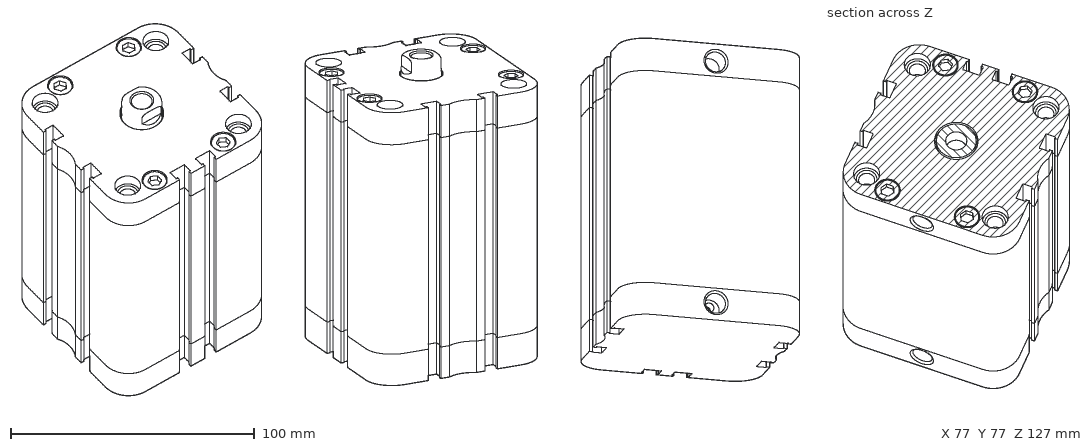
import cadquery as cq
import math

WIDTH = 77.0
TOTAL_HEIGHT = 127.0
TOP_CAP_HEIGHT = 14.0
BOTTOM_CAP_HEIGHT = 13.7
ROD_PROJECTION = 8.0
CORNER_RADIUS = 11.7
HALF_WIDTH = WIDTH / 2
BODY_HEIGHT = TOTAL_HEIGHT - ROD_PROJECTION
BARREL_HEIGHT = BODY_HEIGHT - TOP_CAP_HEIGHT - BOTTOM_CAP_HEIGHT

SLOT_NECK_WIDTH = 5.7
SLOT_WIDTH = 7.2
SLOT_NECK_DEPTH = 1.4
SLOT_DEPTH = 5.5
FRONT_SLOT_OFFSET = 13.0
SIDE_SLOT_OFFSET = 6.5
GROOVE_WIDTH = 12.2
GROOVE_DEPTH = 1.7

MOUNT_OFFSET = 28.3
MOUNT_BORE_DIAMETER = 10.5
MOUNT_BORE_DEPTH = 4.8
MOUNT_THREAD_DIAMETER = 6.6
MOUNT_CHAMFER_DIAMETER = 8.4

SCREW_X = 32.4
SCREW_Y = 17.5
SCREW_BORE_DIAMETER = 10.3
SCREW_HEAD_DIAMETER = 9.8
SCREW_HEAD_RECESS = 0.5
SCREW_GAP_DEPTH = 1.3
HEX_ACROSS_FLATS = 5.0
HEX_DEPTH = 2.5
HEX_SIDES = 6
LEFT_SOCKET_TURN = 0.0
RIGHT_SOCKET_TURN = 30.0

PORT_DIAMETER = 8.5
PORT_CHAMFER_DIAMETER = 10.3
PORT_DEPTH = 10.2
PORT_INSET = 7.5
AIR_HOLE_DIAMETER = 4.0
AIR_HOLE_RISE = 1.0
AIR_HOLE_DEPTH = 5.1

ROD_DIAMETER = 16.5
ROD_EDGE_RADIUS = 1.5
ROD_ACROSS_FLATS = 13.5
FLAT_START = 2.8
ROD_GAP_DIAMETER = 17.7
ROD_GAP_CHAMFER_DIAMETER = 18.0
ROD_GAP_DEPTH = 2.5
ROD_THREAD_DIAMETER = 8.5
ROD_THREAD_CHAMFER_DIAMETER = 9.8
ROD_THREAD_DEPTH = 15.2
DRILL_POINT_ANGLE = 118.0


def slot_cutter(height):
    """T-slot opening toward +Y through the face at y = HALF_WIDTH, centred on x = 0."""
    neck = cq.Workplane("XY").box(SLOT_NECK_WIDTH, SLOT_NECK_DEPTH, height, centered=(True, False, False))
    pocket = cq.Workplane("XY").box(
        SLOT_WIDTH, SLOT_DEPTH - SLOT_NECK_DEPTH, height, centered=(True, False, False)
    )
    neck = neck.translate((0, HALF_WIDTH - SLOT_NECK_DEPTH, 0))
    pocket = pocket.translate((0, HALF_WIDTH - SLOT_DEPTH, 0))
    return neck.union(pocket)


def groove_cutter(height):
    return (
        cq.Workplane("XY")
        .moveTo(-GROOVE_WIDTH / 2, HALF_WIDTH)
        .threePointArc((0, HALF_WIDTH - GROOVE_DEPTH), (GROOVE_WIDTH / 2, HALF_WIDTH))
        .close()
        .extrude(height)
    )


def profile(height):
    """Length of the slotted square section standing on z = 0."""
    block = cq.Workplane("XY").rect(WIDTH, WIDTH).extrude(height).edges("|Z").fillet(CORNER_RADIUS)
    for turn in (0, 180):
        block = block.cut(groove_cutter(height).rotate((0, 0, 0), (0, 0, 1), turn))
        for side in (-1, 1):
            slot = slot_cutter(height).translate((side * FRONT_SLOT_OFFSET, 0, 0))
            block = block.cut(slot.rotate((0, 0, 0), (0, 0, 1), turn))
    for side in (-1, 1):
        slot = slot_cutter(height).translate((side * SIDE_SLOT_OFFSET, 0, 0))
        block = block.cut(slot.rotate((0, 0, 0), (0, 0, 1), -90))
    return block


def cone(large_diameter, small_diameter):
    """45-degree cone on z = 0 that narrows downward."""
    height = (large_diameter - small_diameter) / 2
    return cq.Workplane("XY").add(
        cq.Solid.makeCone(large_diameter / 2, small_diameter / 2, height, dir=cq.Vector(0, 0, -1))
    )


def port_cutter():
    """Chamfered port that enters the -X face at height z = 0."""
    hole = cq.Workplane("XY").circle(PORT_DIAMETER / 2).extrude(-PORT_DEPTH)
    port = hole.union(cone(PORT_CHAMFER_DIAMETER, PORT_DIAMETER))
    return port.rotate((0, 0, 0), (0, 1, 0), -90).translate((-HALF_WIDTH, 0, 0))


def mount_cutter():
    """Counterbored, chamfered hole through a cap whose top is at z = 0."""
    bore = cq.Workplane("XY").circle(MOUNT_BORE_DIAMETER / 2).extrude(-MOUNT_BORE_DEPTH)
    thread = cq.Workplane("XY").circle(MOUNT_THREAD_DIAMETER / 2).extrude(-TOP_CAP_HEIGHT)
    chamfer = cone(MOUNT_CHAMFER_DIAMETER, MOUNT_THREAD_DIAMETER).translate((0, 0, -MOUNT_BORE_DEPTH))
    return bore.union(thread).union(chamfer)


def screw_cutter(socket_turn):
    """Space above and around a screw head, with its hexagon socket; the cap top is at z = 0."""
    bore = cq.Workplane("XY").circle(SCREW_BORE_DIAMETER / 2).extrude(-SCREW_GAP_DEPTH)
    head_height = SCREW_GAP_DEPTH - SCREW_HEAD_RECESS
    head = (
        cq.Workplane("XY")
        .workplane(offset=-SCREW_GAP_DEPTH)
        .circle(SCREW_HEAD_DIAMETER / 2)
        .extrude(head_height)
    )
    socket = (
        cq.Workplane("XY")
        .polygon(HEX_SIDES, HEX_ACROSS_FLATS, circumscribed=True)
        .extrude(-SCREW_HEAD_RECESS - HEX_DEPTH)
        .rotate((0, 0, 0), (0, 0, 1), socket_turn)
    )
    return bore.cut(head).union(socket)


def make_bottom_cap():
    cap = profile(BOTTOM_CAP_HEIGHT)
    port_z = PORT_INSET
    cap = cap.cut(port_cutter().translate((0, 0, port_z)))
    air_hole = (
        cq.Workplane("YZ")
        .center(0, port_z + AIR_HOLE_RISE)
        .circle(AIR_HOLE_DIAMETER / 2)
        .extrude(PORT_DEPTH + AIR_HOLE_DEPTH)
        .translate((-HALF_WIDTH, 0, 0))
    )
    return cap.cut(air_hole)


def make_barrel():
    return profile(BARREL_HEIGHT).translate((0, 0, BOTTOM_CAP_HEIGHT))


def make_top_cap():
    cap = profile(TOP_CAP_HEIGHT)
    cap = cap.cut(port_cutter().translate((0, 0, TOP_CAP_HEIGHT - PORT_INSET)))
    for x_side, socket_turn in ((-1, LEFT_SOCKET_TURN), (1, RIGHT_SOCKET_TURN)):
        for y_side in (-1, 1):
            mount_place = (x_side * MOUNT_OFFSET, y_side * MOUNT_OFFSET, TOP_CAP_HEIGHT)
            screw_place = (x_side * SCREW_X, y_side * SCREW_Y, TOP_CAP_HEIGHT)
            cap = cap.cut(mount_cutter().translate(mount_place))
            cap = cap.cut(screw_cutter(socket_turn).translate(screw_place))
    rod_hole = cq.Workplane("XY").circle(ROD_DIAMETER / 2).extrude(TOP_CAP_HEIGHT)
    rod_gap = (
        cq.Workplane("XY")
        .workplane(offset=TOP_CAP_HEIGHT)
        .circle(ROD_GAP_DIAMETER / 2)
        .extrude(-ROD_GAP_DEPTH)
    )
    gap_chamfer = cone(ROD_GAP_CHAMFER_DIAMETER, ROD_GAP_DIAMETER).translate((0, 0, TOP_CAP_HEIGHT))
    cap = cap.cut(rod_hole).cut(rod_gap).cut(gap_chamfer)
    return cap.translate((0, 0, BODY_HEIGHT - TOP_CAP_HEIGHT))


def make_rod():
    rod_radius = ROD_DIAMETER / 2
    thread_radius = ROD_THREAD_DIAMETER / 2
    thread_chamfer = (ROD_THREAD_CHAMFER_DIAMETER - ROD_THREAD_DIAMETER) / 2
    rod_bottom = BODY_HEIGHT - TOP_CAP_HEIGHT
    thread_bottom = TOTAL_HEIGHT - ROD_THREAD_DEPTH
    drill_point = thread_bottom - thread_radius / math.tan(math.radians(DRILL_POINT_ANGLE / 2))
    rod = (
        cq.Workplane("XZ")
        .moveTo(0, rod_bottom)
        .lineTo(rod_radius, rod_bottom)
        .lineTo(rod_radius, TOTAL_HEIGHT - ROD_EDGE_RADIUS)
        .tangentArcPoint((-ROD_EDGE_RADIUS, ROD_EDGE_RADIUS))
        .lineTo(thread_radius + thread_chamfer, TOTAL_HEIGHT)
        .lineTo(thread_radius, TOTAL_HEIGHT - thread_chamfer)
        .lineTo(thread_radius, thread_bottom)
        .lineTo(0, drill_point)
        .close()
        .revolve(360, (0, 0, 0), (0, 1, 0))
    )
    flat_x = ROD_ACROSS_FLATS / 2
    flat_bottom = BODY_HEIGHT + FLAT_START
    runout = rod_radius - flat_x
    for turn in (0, 180):
        flat = (
            cq.Workplane("XZ")
            .moveTo(flat_x, TOTAL_HEIGHT)
            .lineTo(flat_x, flat_bottom)
            .lineTo(flat_x + runout, flat_bottom - runout)
            .lineTo(flat_x + runout, TOTAL_HEIGHT)
            .close()
            .extrude(rod_radius, both=True)
        )
        rod = rod.cut(flat.rotate((0, 0, 0), (0, 0, 1), turn))
    return rod


bottom_cap = make_bottom_cap()
barrel = make_barrel()
top_cap = make_top_cap()
rod = make_rod()
result = cq.Compound.makeCompound([bottom_cap.val(), barrel.val(), top_cap.val(), rod.val()])